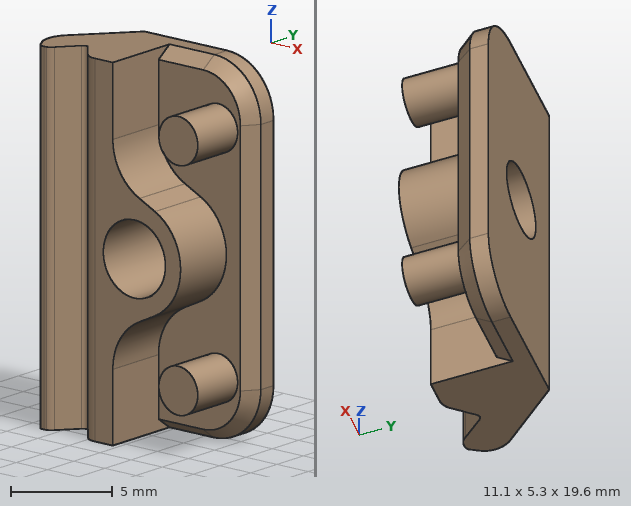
import cadquery as cq
import math

LENGTH = 19.55
WIDTH = 11.12
DEPTH = 5.3
HALF_LENGTH = LENGTH / 2

RAIL_WIDTH = 5.25
BACK_EDGE_X = 2.82
FRONT_FACE_X = 4.1
TIP_DEPTH = 5.25
TIP_FLAT_START_X = 0.78
TIP_FLAT_END_X = 0.94

NOSE_START = (0.33, -3.0)
NOSE_MIDDLE = (0, -3.81)
NOSE_END = (0.18, -4.65)
TIP_OUTER_START = (0.41, -5.05)
TIP_OUTER_MIDDLE = (0.57, -5.22)
TIP_INNER_MIDDLE = (1.11, -5.18)
TIP_INNER_END = (1.27, -5.02)
GROOVE_START = (2.11, -3.99)
GROOVE_BOTTOM = (2.3, -3.85)
GROOVE_END = (2.52, -3.95)
FRONT_EDGE_START = (3.38, -4.97)
FRONT_EDGE_MIDDLE = (3.71, -5.22)

PLATE_THICKNESS = 1.82
PLATE_RIM = 0.98
CHAMFER_INSET = 0.6
CORNER_RADIUS = 3.01

HOLE_X = 6.65
HOLE_RADIUS = 2.0
BOSS_RADIUS = 2.97
BLEND_RADIUS = 3.01
BLEND_ANGLE = math.radians(64)

PIN_X = 9.1
PIN_Z = 6.37
PIN_RADIUS = 1.25
PIN_END = 4.85


def front_plane(depth):
    """XZ workplane at the given distance in front of the back face."""
    return cq.Workplane("XZ", origin=(0, -depth, 0))


def make_rail():
    """Hook-shaped section extruded along the full length."""
    return (
        cq.Workplane("XY", origin=(0, 0, -HALF_LENGTH))
        .moveTo(RAIL_WIDTH, 0)
        .lineTo(BACK_EDGE_X, 0)
        .lineTo(*NOSE_START)
        .threePointArc(NOSE_MIDDLE, NOSE_END)
        .lineTo(*TIP_OUTER_START)
        .threePointArc(TIP_OUTER_MIDDLE, (TIP_FLAT_START_X, -TIP_DEPTH))
        .lineTo(TIP_FLAT_END_X, -TIP_DEPTH)
        .threePointArc(TIP_INNER_MIDDLE, TIP_INNER_END)
        .lineTo(*GROOVE_START)
        .threePointArc(GROOVE_BOTTOM, GROOVE_END)
        .lineTo(*FRONT_EDGE_START)
        .threePointArc(FRONT_EDGE_MIDDLE, (FRONT_FACE_X, -DEPTH))
        .lineTo(RAIL_WIDTH, -DEPTH)
        .close()
        .extrude(LENGTH)
    )


def plate_layer(start, thickness, taper):
    """Slab with two rounded corners, its sides drawn in by the taper angle."""
    arc_x = WIDTH - CORNER_RADIUS
    arc_z = HALF_LENGTH - CORNER_RADIUS
    bulge = CORNER_RADIUS * math.sqrt(0.5)
    return (
        front_plane(start)
        .moveTo(BACK_EDGE_X, -HALF_LENGTH)
        .lineTo(arc_x, -HALF_LENGTH)
        .threePointArc((arc_x + bulge, -arc_z - bulge), (WIDTH, -arc_z))
        .lineTo(WIDTH, arc_z)
        .threePointArc((arc_x + bulge, arc_z + bulge), (arc_x, HALF_LENGTH))
        .lineTo(BACK_EDGE_X, HALF_LENGTH)
        .close()
        .extrude(thickness, taper=taper)
    )


def make_plate():
    """Straight rim with a bevelled front; the hidden left end lies inside the rail."""
    bevel_depth = PLATE_THICKNESS - PLATE_RIM
    bevel_angle = math.degrees(math.atan2(CHAMFER_INSET, bevel_depth))
    rim = plate_layer(0, PLATE_RIM, 0)
    bevel = plate_layer(PLATE_RIM, bevel_depth, bevel_angle)
    return rim.union(bevel)


def make_boss():
    """Rounded boss joined to the rail wall by straight flanks and hollow arcs."""
    cos_a = math.cos(BLEND_ANGLE)
    sin_a = math.sin(BLEND_ANGLE)
    flank_x = HOLE_X + BOSS_RADIUS * cos_a
    flank_z = BOSS_RADIUS * sin_a
    blend_x = RAIL_WIDTH + BLEND_RADIUS * (1 - cos_a)
    blend_z = flank_z + (flank_x - blend_x) * cos_a / sin_a
    center_x = RAIL_WIDTH + BLEND_RADIUS
    center_z = blend_z + BLEND_RADIUS * sin_a
    mid_x = center_x - BLEND_RADIUS * math.cos(BLEND_ANGLE / 2)
    mid_z = center_z - BLEND_RADIUS * math.sin(BLEND_ANGLE / 2)
    outline = (
        front_plane(0)
        .moveTo(RAIL_WIDTH, -center_z)
        .threePointArc((mid_x, -mid_z), (blend_x, -blend_z))
        .lineTo(flank_x, -flank_z)
        .threePointArc((HOLE_X + BOSS_RADIUS, 0), (flank_x, flank_z))
        .lineTo(blend_x, blend_z)
        .threePointArc((mid_x, mid_z), (RAIL_WIDTH, center_z))
        .close()
    )
    return outline.extrude(DEPTH)


def make_pins():
    """Two round pins standing on the plate."""
    return front_plane(0).pushPoints([(PIN_X, -PIN_Z), (PIN_X, PIN_Z)]).circle(PIN_RADIUS).extrude(PIN_END)


def make_hole():
    """Screw hole through the boss and plate."""
    return front_plane(0).center(HOLE_X, 0).circle(HOLE_RADIUS).extrude(DEPTH)


result = make_rail().union(make_plate()).union(make_boss()).union(make_pins()).cut(make_hole())